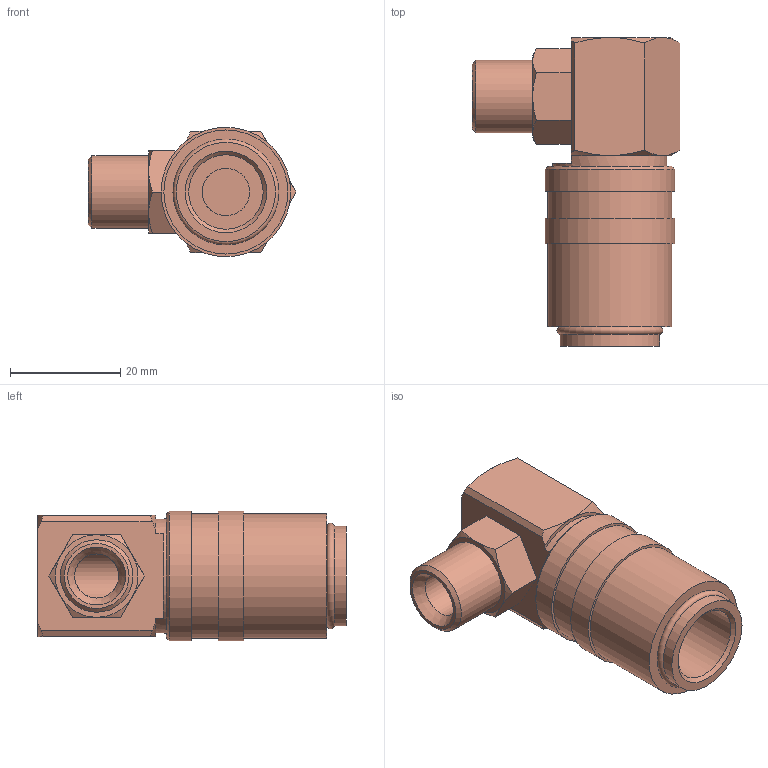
import cadquery as cq
import math


body_across_flats = 22.0
body_half_length = 10.7
body_cut_x = -7.0
crown_angle = 30.0

neck_radius = 10.35
neck_cut_end_y = -12.1

stub_hex_across_flats = 15.0
stub_hex_end_x = -14.0
stub_end_x = -25.0
stub_radius = 6.58
stub_chamfer = 0.7
stub_bore_radius = 4.0
stub_mouth_radius = 5.25
stub_mouth_depth = 2.0

barrel_start_y = -12.65
barrel_radius = 11.25
band_radius = 11.75
band_chamfer = 0.5
rear_band_end_y = -17.2
front_band_start_y = -22.1
front_band_end_y = -26.65
barrel_end_y = -41.75
spigot_radius = 9.0
spigot_end_y = -45.3
ring_radius = 9.6
ring_section_radius = 0.7

barrel_bore_radius = 6.75
barrel_mouth_radius = 7.4
barrel_bore_end_y = barrel_start_y
passage_radius = 4.3
passage_end_y = passage_radius


def corner_radius(across_flats):
    """Distance from the axis of a hexagon to its corners."""
    return across_flats / math.sqrt(3)


def crown_height(across_flats):
    """Axial length of the conical crown that bevels the corners of a hexagon."""
    corner_overhang = corner_radius(across_flats) - across_flats / 2
    return corner_overhang * math.tan(math.radians(crown_angle))


def cylinder_along_y(radius, start_y, end_y):
    """Cylinder on the Y axis between two Y positions."""
    base = cq.Workplane("XZ", origin=(0, start_y, 0))
    return base.circle(radius).extrude(start_y - end_y)


def cylinder_along_x(radius, start_x, end_x):
    """Cylinder on the X axis between two X positions."""
    base = cq.Workplane("YZ", origin=(start_x, 0, 0))
    return base.circle(radius).extrude(end_x - start_x)


def revolve_about_x(profile):
    """Solid of revolution about X from a closed profile of (x, radius)."""
    return profile.close().revolve(360, (0, 0, 0), (1, 0, 0))


def revolve_about_y(profile):
    """Solid of revolution about Y from a closed profile of (radius, y)."""
    return profile.close().revolve(360, (0, 0, 0), (0, 1, 0))


def make_body():
    """Hexagon with both ends crowned, and the neck, cut flat on the stub side."""
    flat_radius = body_across_flats / 2
    tip_radius = corner_radius(body_across_flats)
    shoulder_y = body_half_length - crown_height(body_across_flats)
    hexagon = (
        cq.Workplane("XZ", origin=(0, body_half_length, 0))
        .polygon(6, 2 * tip_radius)
        .extrude(2 * body_half_length)
    )
    crown = revolve_about_y(
        cq.Workplane("XY").polyline([
            (0, body_half_length),
            (flat_radius, body_half_length),
            (tip_radius, shoulder_y),
            (tip_radius, -shoulder_y),
            (flat_radius, -body_half_length),
            (0, -body_half_length),
        ])
    )
    neck = cylinder_along_y(neck_radius, 0, barrel_start_y)
    cut_length = body_half_length - neck_cut_end_y
    cut_width = tip_radius + body_cut_x
    side_cut = cq.Workplane("XY").box(
        cut_width, cut_length, 2 * tip_radius, centered=(False, False, True)
    ).translate((-tip_radius, neck_cut_end_y, 0))
    return hexagon.intersect(crown).union(neck).cut(side_cut)


def make_stub():
    """Hexagon crowned at its outer end, with the chamfered round stub."""
    flat_radius = stub_hex_across_flats / 2
    tip_radius = corner_radius(stub_hex_across_flats)
    hexagon = (
        cq.Workplane("YZ", origin=(stub_hex_end_x, 0, 0))
        .polygon(6, 2 * tip_radius)
        .extrude(-stub_hex_end_x)
    )
    crown = revolve_about_x(
        cq.Workplane("XY").polyline([
            (0, 0),
            (stub_hex_end_x, 0),
            (stub_hex_end_x, flat_radius),
            (stub_hex_end_x + crown_height(stub_hex_across_flats), tip_radius),
            (0, tip_radius),
        ])
    )
    tube = cylinder_along_x(stub_radius, stub_end_x, 0).faces("<X").chamfer(stub_chamfer)
    return hexagon.intersect(crown).union(tube)


def make_barrel():
    """Barrel with two raised bands, a rounded retaining ring and the end spigot."""
    ring_center_radius = ring_radius - ring_section_radius
    ring_offset = math.sqrt(ring_section_radius**2 - (spigot_radius - ring_center_radius)**2)
    ring_center_y = barrel_end_y - ring_offset
    ring_end_y = ring_center_y - ring_offset
    return revolve_about_y(
        cq.Workplane("XY")
        .moveTo(0, barrel_start_y)
        .lineTo(band_radius - band_chamfer, barrel_start_y)
        .lineTo(band_radius, barrel_start_y - band_chamfer)
        .lineTo(band_radius, rear_band_end_y)
        .lineTo(barrel_radius, rear_band_end_y)
        .lineTo(barrel_radius, front_band_start_y)
        .lineTo(band_radius, front_band_start_y)
        .lineTo(band_radius, front_band_end_y)
        .lineTo(barrel_radius, front_band_end_y)
        .lineTo(barrel_radius, barrel_end_y)
        .lineTo(spigot_radius, barrel_end_y)
        .threePointArc((ring_radius, ring_center_y), (spigot_radius, ring_end_y))
        .lineTo(spigot_radius, spigot_end_y)
        .lineTo(0, spigot_end_y)
    )


def make_stub_bore():
    """Stub bore with a conical mouth, reaching the passage along Y."""
    return revolve_about_x(
        cq.Workplane("XY").polyline([
            (0, 0),
            (stub_end_x, 0),
            (stub_end_x, stub_mouth_radius),
            (stub_end_x + stub_mouth_depth, stub_bore_radius),
            (0, stub_bore_radius),
        ])
    )


def make_barrel_bore():
    """Stepped passage along Y with a chamfered mouth at the spigot."""
    mouth_chamfer = barrel_mouth_radius - barrel_bore_radius
    return revolve_about_y(
        cq.Workplane("XY").polyline([
            (0, spigot_end_y),
            (barrel_mouth_radius, spigot_end_y),
            (barrel_bore_radius, spigot_end_y + mouth_chamfer),
            (barrel_bore_radius, barrel_bore_end_y),
            (passage_radius, barrel_bore_end_y),
            (passage_radius, passage_end_y),
            (0, passage_end_y),
        ])
    )


outside = make_body().union(make_stub()).union(make_barrel())
result = outside.cut(make_stub_bore()).cut(make_barrel_bore())